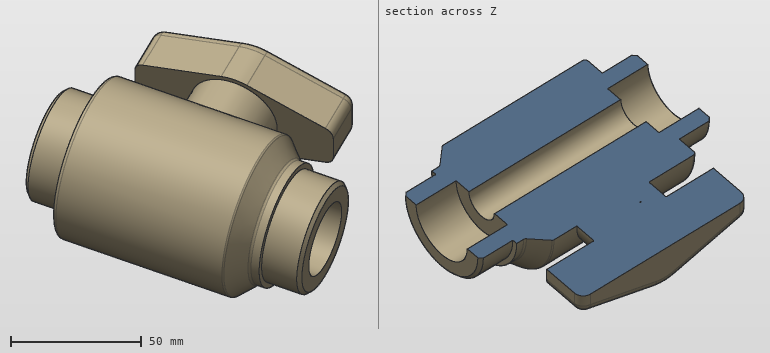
import cadquery as cq
import math


overall_length = 116.0
half_length = overall_length / 2
body_radius = 66.0 / 2
body_half_length = 41.75
body_edge_radius = 1.5
spigot_radius = 46.0 / 2
spigot_chamfer = 1.5

collar_radius = 50.6 / 2
cone_start_x = 30.0
cone_length = body_radius - collar_radius
cone_end_x = cone_start_x + cone_length
cone_edge_radius = 1.0
collar_root_radius = 1.5

bore_radius = 15.05 / 2
socket_radius = 30.29 / 2
socket_depth = 20.0

stem_radius = 36.35 / 2
handle_base_y = 43.0
handle_top_y = 64.0
handle_half_length = body_half_length
hub_radius = 20.0
end_half_width = 9.0
handle_corner_radius = 4.6
handle_edge_radius = 4.4

selection_margin = 0.1


def cylinder_x(radius, start_x, end_x):
    """Solid cylinder on the flow axis."""
    return cq.Workplane("YZ", origin=(start_x, 0, 0)).circle(radius).extrude(end_x - start_x)


def plane_slice(x):
    """Selector for whatever lies in the plane at the given x."""
    return cq.selectors.BoxSelector(
        (x - selection_margin, -body_radius, -body_radius),
        (x + selection_margin, body_radius, body_radius),
    )


def make_body():
    """Turned body: cylinder, cone and collar with rounded edges."""
    profile = (
        cq.Workplane("XY")
        .moveTo(-body_half_length, 0)
        .lineTo(-body_half_length, body_radius)
        .lineTo(cone_start_x, body_radius)
        .lineTo(cone_end_x, collar_radius)
        .lineTo(body_half_length, collar_radius)
        .lineTo(body_half_length, 0)
        .close()
    )
    body = profile.revolve(360, (0, 0, 0), (1, 0, 0))
    body = body.faces("<X").edges().fillet(body_edge_radius)
    body = body.edges(plane_slice(cone_start_x)).fillet(cone_edge_radius)
    return body.edges(plane_slice(cone_end_x)).fillet(collar_root_radius)


def make_spigots():
    """One bar through the body; its chamfered ends are the two spigots."""
    return cylinder_x(spigot_radius, -half_length, half_length).faces("<X or >X").chamfer(spigot_chamfer)


def make_stem():
    """Round stem from the flow axis up to the handle."""
    return cq.Workplane("XZ").circle(stem_radius).extrude(-handle_base_y)


def make_handle():
    """Bar handle: a round hub with straight sides, tangent to it, that taper to the ends."""
    corner_distance = math.hypot(handle_half_length, end_half_width)
    corner_angle = math.atan2(end_half_width, handle_half_length)
    tangent_angle = corner_angle + math.acos(hub_radius / corner_distance)
    tangent_x = hub_radius * math.cos(tangent_angle)
    tangent_z = hub_radius * math.sin(tangent_angle)

    outline = (
        cq.Workplane("XZ", origin=(0, handle_base_y, 0))
        .moveTo(-tangent_x, tangent_z)
        .threePointArc((0, hub_radius), (tangent_x, tangent_z))
        .lineTo(handle_half_length, end_half_width)
        .lineTo(handle_half_length, -end_half_width)
        .lineTo(tangent_x, -tangent_z)
        .threePointArc((0, -hub_radius), (-tangent_x, -tangent_z))
        .lineTo(-handle_half_length, -end_half_width)
        .lineTo(-handle_half_length, end_half_width)
        .close()
    )
    handle = outline.extrude(handle_base_y - handle_top_y)
    for end in ("<X", ">X"):
        handle = handle.faces(end).edges("|Y").fillet(handle_corner_radius)
    return handle.faces(">Y").edges().fillet(handle_edge_radius)


def make_passage():
    """Through bore with a wider socket at each end."""
    bore = cylinder_x(bore_radius, -half_length, half_length)
    left_socket = cylinder_x(socket_radius, -half_length, -half_length + socket_depth)
    right_socket = cylinder_x(socket_radius, half_length - socket_depth, half_length)
    return bore.union(left_socket).union(right_socket)


solid_valve = make_body().union(make_spigots()).union(make_stem()).union(make_handle())
result = solid_valve.cut(make_passage())